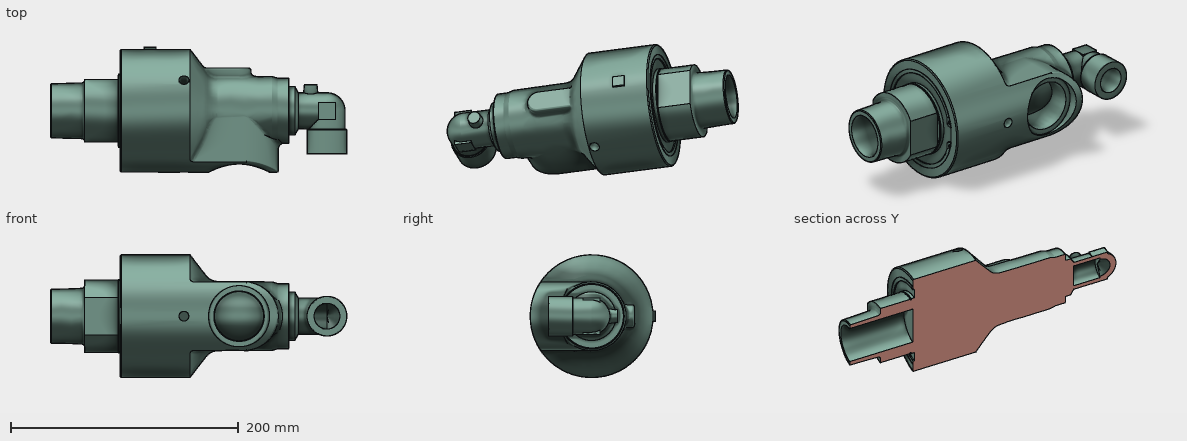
import cadquery as cq
import math


PIPE_TIP_R = 23.8
PIPE_ROOT_R = 24.6
PIPE_CHAMFER = 0.8
PIPE_LEN = 27.3
COLLAR_X = 29.8
PIPE_FLARE_R = 27.05
COLLAR_R = 32.0
COLLAR_FLATS = 55.0
GROOVE_X = 59.2
GROOVE_R = 31.0
LIP_X = 59.8
LIP_R = 32.4
PIPE_BORE_D = 38.1

DRUM_X = 61.1
DRUM_R = 54.0
DRUM_CHAMFER = 1.0
SHOULDER_X = 122.4
SHOULDER_ANGLE = math.radians(52.5)
NECK_BLEND_R = 12.85
NECK_R = 30.6
NECK_END_R = 30.2
NECK_BLEND_END_X = 146.7
NECK_END_X = 194.5
FLANGE_X = 199.6
FLANGE_R = 28.7
FLANGE_END_X = 209.5
FLANGE_CHAMFER = 0.8

NUT_R = 21.4
NUT_CONE_X = 214.5
NUT_END_X = 217.5

RECESS_D = 90.07
RECESS_DEPTH = 1.6
RING_INNER_R = 41.5
RING_THICKNESS = 1.2
RING_LUG_INNER_Y = 38.5
RING_GAP = 15.0
RING_LUG_WIDTH = 7.5
RING_LUG_CHAMFER = 2.0
RING_HOLE_D = 3.17
RING_HOLE_Y = 42.1
RING_HOLE_Z = 11.6

PORT_X = 165.5
PORT_D = 43.26
PORT_THREAD_TAPER = 1 / 16
PORT_THREAD_END_Y = 27.2
PORT_RECESS_D = 53.7
PORT_RECESS_Y = 45.0
PORT_FLOOR_R = 25.6
BOSS_R = 30.0
BOSS_END_X = 170.0
BOSS_FILLET = 5.0
BOSS_RIM_FILLET = 1.5
BOSS_RIM_X = 172.0

DRAIN_D = 8.6
DRAIN_X = 117.1
DRAIN_DEPTH = 18.0
DRAIN_COUNT = 3

PAD_HALF_WIDTH = 10.0
PAD_END_X = 166.0
PAD_Y = 37.6
PAD_EDGE_FILLET = 2.3
PAD_BASE_FILLET = 4.0

ID_PAD_X = 82.1
ID_PAD_LENGTH = 10.5
ID_PAD_WIDTH = 9.2
ID_PAD_Y = 55.95

ELBOW_R = 16.0
ELBOW_X = 242.7
ELBOW_SOCKET_R = 17.5
ELBOW_SOCKET_Y = 16.2
ELBOW_SOCKET_CHAMFER = 0.8
ELBOW_END_Y = 37.8
ELBOW_BORE_D = 22.63
DRILL_POINT_HALF_ANGLE = math.radians(59)
ELBOW_PAD_SIDE = 15.0
PLUG_X = 228.4
PLUG_TIP_R = 5.6
PLUG_BASE_R = 6.33
PLUG_Y = 22.9
OVERLAP = 2.0

TRIM_R = 65.0
BLEND_CONE_X = 150.0
BLEND_CONE_START_R = 30.2
BLEND_CONE_END_R = 28.4
TOLERANCE = 0.2


def cylinder_x(radius, x_start, x_end):
    return cq.Workplane("YZ").workplane(offset=x_start).circle(radius).extrude(x_end - x_start)


def cylinder_y(radius, x, y_start, y_end):
    """Cylinder along Y, centred on (x, z = 0)."""
    plane = cq.Plane(origin=(x, y_start, 0), xDir=(1, 0, 0), normal=(0, 1, 0))
    return cq.Workplane(plane).circle(radius).extrude(y_end - y_start)


def revolve_x(profile):
    return profile.close().revolve(360, (0, 0, 0), (1, 0, 0))


def turned_front():
    """Pipe, flared pipe root, collar, groove, lip and drum."""
    flare_mid = (
        PIPE_LEN + (COLLAR_X - PIPE_LEN) * math.sin(math.pi / 4),
        PIPE_ROOT_R + (PIPE_FLARE_R - PIPE_ROOT_R) * (1 - math.cos(math.pi / 4)),
    )
    profile = (
        cq.Workplane("XY")
        .moveTo(0, 0)
        .lineTo(0, PIPE_TIP_R - PIPE_CHAMFER)
        .lineTo(PIPE_CHAMFER, PIPE_TIP_R)
        .lineTo(PIPE_LEN, PIPE_ROOT_R)
        .threePointArc(flare_mid, (COLLAR_X, PIPE_FLARE_R))
        .lineTo(COLLAR_X, COLLAR_R)
        .lineTo(GROOVE_X, COLLAR_R)
        .lineTo(GROOVE_X, GROOVE_R)
        .lineTo(LIP_X, GROOVE_R)
        .lineTo(LIP_X, LIP_R)
        .lineTo(DRUM_X, LIP_R)
        .lineTo(DRUM_X, DRUM_R - DRUM_CHAMFER)
        .lineTo(DRUM_X + DRUM_CHAMFER, DRUM_R)
        .lineTo(SHOULDER_X, DRUM_R)
        .lineTo(SHOULDER_X, 0)
    )
    return revolve_x(profile)


def turned_rear():
    """Shoulder cone, blend, neck, flange and nut; the cone runs on past the drum's radius."""
    blend_x = NECK_BLEND_END_X - NECK_BLEND_R * math.sin(SHOULDER_ANGLE)
    blend_r = NECK_R + NECK_BLEND_R * (1 - math.cos(SHOULDER_ANGLE))
    blend_mid = (
        NECK_BLEND_END_X - NECK_BLEND_R * math.sin(SHOULDER_ANGLE / 2),
        NECK_R + NECK_BLEND_R * (1 - math.cos(SHOULDER_ANGLE / 2)),
    )
    cone_slope = (DRUM_R - blend_r) / (blend_x - SHOULDER_X)
    cone_x = SHOULDER_X - (TRIM_R - DRUM_R) / cone_slope
    profile = (
        cq.Workplane("XY")
        .moveTo(cone_x, 0)
        .lineTo(cone_x, TRIM_R)
        .lineTo(blend_x, blend_r)
        .threePointArc(blend_mid, (NECK_BLEND_END_X, NECK_R))
        .lineTo(NECK_END_X, NECK_END_R)
        .lineTo(FLANGE_X, FLANGE_R)
        .lineTo(FLANGE_END_X - FLANGE_CHAMFER, FLANGE_R)
        .lineTo(FLANGE_END_X, FLANGE_R - FLANGE_CHAMFER)
        .lineTo(FLANGE_END_X, NUT_R)
        .lineTo(NUT_CONE_X, NUT_R)
        .lineTo(NUT_END_X, ELBOW_R)
        .lineTo(NUT_END_X, 0)
    )
    return revolve_x(profile)


def wrench_flats():
    """Material removed from the collar to leave two flats facing +Y and -Y."""
    length = GROOVE_X - COLLAR_X
    centre_x = (GROOVE_X + COLLAR_X) / 2
    around = cq.Workplane("XY").box(length, 3 * COLLAR_R, 3 * COLLAR_R)
    kept = cq.Workplane("XY").box(length, COLLAR_FLATS, 3 * COLLAR_R)
    return around.cut(kept).translate((centre_x, 0, 0))


def fillet_curved_edges(body, radius, is_chosen):
    """Fillet the free-form edges, where turned and prismatic shapes meet, that pass the test."""
    edges = [
        edge
        for edge in body.edges().vals()
        if edge.geomType() not in ("LINE", "CIRCLE") and is_chosen(edge.BoundingBox())
    ]
    return body.newObject(edges).fillet(radius)


def port_boss(start_x):
    """Round-ended boss from the main axis toward -Y, running on past the drum's radius."""
    length = BOSS_END_X - start_x
    block = cq.Workplane("XZ").moveTo(start_x + length / 2, 0).rect(length, 2 * BOSS_R).extrude(TRIM_R)
    return block.union(cylinder_y(BOSS_R, BOSS_END_X, -TRIM_R, 0))


def boss_end_blend():
    """Round end of the boss, filleted to a slim cone that lies inside the neck and flange."""
    profile = (
        cq.Workplane("XY")
        .moveTo(BLEND_CONE_X, 0)
        .lineTo(BLEND_CONE_X, BLEND_CONE_START_R)
        .lineTo(FLANGE_END_X - FLANGE_CHAMFER, BLEND_CONE_END_R)
        .lineTo(FLANGE_END_X - FLANGE_CHAMFER, 0)
    )
    blend = revolve_x(profile).union(port_boss(BLEND_CONE_X))
    return fillet_curved_edges(
        blend, BOSS_FILLET, lambda box: box.xmin > BOSS_END_X - TOLERANCE and box.ymax < TOLERANCE
    )


def boss_rim_rounding():
    """Material removed to round the rim where the boss end meets the drum's cylinder."""
    end = cylinder_y(BOSS_R, BOSS_END_X, -TRIM_R, -DRUM_R / 2)
    end = end.intersect(cylinder_x(DRUM_R, BOSS_RIM_X, FLANGE_END_X))
    rounded = fillet_curved_edges(end, BOSS_RIM_FILLET, lambda box: box.xmax > BOSS_END_X + BOSS_R / 2)
    return end.cut(rounded)


def port_cut():
    """Recessed side port with a tapered thread bore that stops on a cylinder around the main axis."""
    thread_length = PORT_RECESS_Y - PORT_THREAD_END_Y
    mouth_r = (PORT_D + thread_length * PORT_THREAD_TAPER) / 2
    bore = (
        cq.Workplane("XY")
        .moveTo(PORT_X, -PORT_RECESS_Y)
        .lineTo(PORT_X + mouth_r, -PORT_RECESS_Y)
        .lineTo(PORT_X + PORT_D / 2, -PORT_THREAD_END_Y)
        .lineTo(PORT_X + PORT_D / 2, 0)
        .lineTo(PORT_X, 0)
        .close()
        .revolve(360, (PORT_X, 0, 0), (PORT_X, 1, 0))
    )
    bore = bore.cut(cylinder_x(PORT_FLOOR_R, SHOULDER_X, FLANGE_END_X))
    recess = cylinder_y(PORT_RECESS_D / 2, PORT_X, -DRUM_R, -PORT_RECESS_Y)
    return bore.union(recess)


def neck_pad():
    """Flat pad with a rounded end and a rounded top edge, rising toward +Y."""
    length = PAD_END_X - SHOULDER_X
    pad = cq.Workplane("XZ").moveTo(SHOULDER_X + length / 2, 0)
    pad = pad.rect(length, 2 * PAD_HALF_WIDTH).extrude(-PAD_Y)
    pad = pad.union(cylinder_y(PAD_HALF_WIDTH, PAD_END_X, 0, PAD_Y))
    return pad.faces(">Y").edges("not <X").fillet(PAD_EDGE_FILLET)


def rear_body():
    """Turned rear with the port boss and the neck pad, trimmed to the drum's cylinder."""
    body = turned_rear().union(neck_pad())
    body = fillet_curved_edges(body, PAD_BASE_FILLET, is_pad_base)
    body = body.union(port_boss(SHOULDER_X - OVERLAP))
    body = fillet_curved_edges(
        body, BOSS_FILLET, lambda box: box.xmax < NECK_BLEND_END_X + TOLERANCE and box.ymax < 0
    )
    body = body.union(boss_end_blend())
    body = body.intersect(cylinder_x(DRUM_R, SHOULDER_X, NUT_END_X))
    return body.cut(boss_rim_rounding())


def is_pad_base(box):
    beside_pad = box.xmax < PAD_END_X + PAD_HALF_WIDTH + TOLERANCE and box.ymin > NECK_R / 2
    below_edge = box.ymin < PAD_Y - PAD_EDGE_FILLET - TOLERANCE
    return beside_pad and below_edge


def ring_recess():
    """Recess in the drum face, with the retaining ring and its two lugs left standing in it."""
    recess_r = RECESS_D / 2
    recess = cylinder_x(recess_r, DRUM_X, DRUM_X + RECESS_DEPTH).cut(
        cylinder_x(LIP_R, DRUM_X, DRUM_X + RECESS_DEPTH)
    )
    ring_x = DRUM_X + RECESS_DEPTH - RING_THICKNESS
    ring = cylinder_x(recess_r, ring_x, DRUM_X + RECESS_DEPTH)
    ring = ring.cut(cylinder_x(RING_INNER_R, ring_x, DRUM_X + RECESS_DEPTH))
    gap = cq.Workplane("YZ").workplane(offset=ring_x).moveTo(-recess_r, 0)
    ring = ring.cut(gap.rect(recess_r, RING_GAP).extrude(RING_THICKNESS))
    for side in (1, -1):
        ring = ring.union(ring_lug(side, ring_x))
        hole = cq.Workplane("YZ").workplane(offset=ring_x).moveTo(-RING_HOLE_Y, side * RING_HOLE_Z)
        ring = ring.cut(hole.circle(RING_HOLE_D / 2).extrude(RING_THICKNESS))
    return recess.cut(ring)


def ring_lug(side, ring_x):
    gap_z = side * RING_GAP / 2
    outer_z = gap_z + side * RING_LUG_WIDTH
    lug = (
        cq.Workplane("YZ")
        .workplane(offset=ring_x)
        .moveTo(-RING_HOLE_Y, gap_z)
        .lineTo(-RING_LUG_INNER_Y - RING_LUG_CHAMFER, gap_z)
        .lineTo(-RING_LUG_INNER_Y, gap_z + side * RING_LUG_CHAMFER)
        .lineTo(-RING_LUG_INNER_Y, outer_z)
        .lineTo(-RING_HOLE_Y, outer_z)
        .close()
    )
    return lug.extrude(RING_THICKNESS)


def drain_holes():
    """Radial blind holes, evenly spaced around the drum, the first one facing -Y."""
    hole = cylinder_y(DRAIN_D / 2, DRAIN_X, -DRUM_R - OVERLAP, -DRUM_R + DRAIN_DEPTH)
    holes = cq.Workplane("XY")
    for index in range(DRAIN_COUNT):
        holes = holes.add(hole.rotate((0, 0, 0), (1, 0, 0), index * 360 / DRAIN_COUNT))
    return holes.combine()


def id_pad():
    pad = cq.Workplane("XZ").moveTo(ID_PAD_X + ID_PAD_LENGTH / 2, 0).rect(ID_PAD_LENGTH, ID_PAD_WIDTH)
    return pad.extrude(-ID_PAD_Y)


def elbow():
    """Elbow from the nut along X, turning to -Y, with a socket, square pads and a plug."""
    body = cylinder_x(ELBOW_R, NUT_END_X - OVERLAP, ELBOW_X)
    body = body.union(cylinder_y(ELBOW_R, ELBOW_X, -ELBOW_SOCKET_Y, 0))
    body = body.union(cq.Workplane("XY").sphere(ELBOW_R).translate((ELBOW_X, 0, 0)))
    pads = cq.Workplane("XY").box(ELBOW_PAD_SIDE, ELBOW_PAD_SIDE, 2 * ELBOW_R)
    body = body.union(pads.translate((ELBOW_X, 0, 0)))
    socket = cylinder_y(ELBOW_SOCKET_R, ELBOW_X, -ELBOW_END_Y, -ELBOW_SOCKET_Y)
    body = body.union(socket.faces(">Y").chamfer(ELBOW_SOCKET_CHAMFER))
    plug = cylinder_y(PLUG_BASE_R, PLUG_X, 0, ELBOW_R)
    tip_plane = cq.Plane(origin=(PLUG_X, ELBOW_R, 0), xDir=(1, 0, 0), normal=(0, 1, 0))
    tip = cq.Workplane(tip_plane).circle(PLUG_BASE_R)
    tip = tip.workplane(offset=PLUG_Y - ELBOW_R).circle(PLUG_TIP_R).loft()
    return body.union(plug).union(tip)


def elbow_bore():
    """Bore drilled from the socket with a conical point, meeting a bore along X."""
    radius = ELBOW_BORE_D / 2
    point_y = radius / math.tan(DRILL_POINT_HALF_ANGLE)
    drilled = (
        cq.Workplane("XY")
        .moveTo(ELBOW_X, -ELBOW_END_Y)
        .lineTo(ELBOW_X + radius, -ELBOW_END_Y)
        .lineTo(ELBOW_X + radius, 0)
        .lineTo(ELBOW_X, point_y)
        .close()
        .revolve(360, (ELBOW_X, 0, 0), (ELBOW_X, 1, 0))
    )
    return drilled.union(cylinder_x(radius, NUT_END_X, ELBOW_X))


result = turned_front().cut(wrench_flats())
result = result.union(rear_body())
result = result.cut(port_cut())
result = result.cut(ring_recess())
result = result.cut(drain_holes())
result = result.cut(cylinder_x(PIPE_BORE_D / 2, 0, DRUM_X))
result = result.union(id_pad())
result = result.union(elbow())
result = result.cut(elbow_bore())